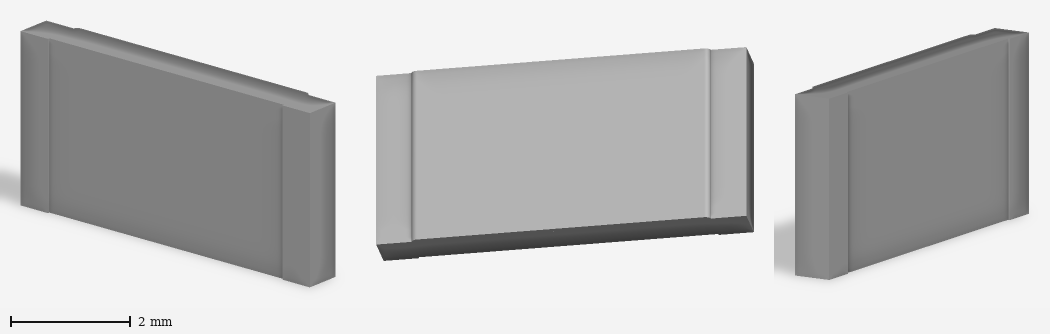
import cadquery as cq

length = 6.3
depth = 0.75
height = 3.1

plating = 0.04
terminal_length = 0.6

substrate_depth = 0.6
substrate_length = length - 2 * plating

coating_depth = depth - plating - substrate_depth
coating_length = length - 2 * terminal_length
coating_fillet = 0.1

terminal_front = -depth / 2
substrate_front = terminal_front + plating
substrate_back = substrate_front + substrate_depth
terminal_depth = substrate_depth + 2 * plating


def block(size_x, size_y, front_y):
    """Full-height block centred on X and Z, extending in +Y from front_y."""
    return cq.Workplane("XY").box(size_x, size_y, height).translate((0, front_y + size_y / 2, 0))


def make_substrate():
    return block(substrate_length, substrate_depth, substrate_front)


def make_coating():
    """Coating layer with its two upright back edges rounded."""
    layer = block(coating_length, coating_depth, substrate_back)
    return layer.faces(">Y").edges("|Z").fillet(coating_fillet)


def make_terminal(side):
    """C-shaped end cap; side is -1 for the -X end and +1 for the +X end."""
    center_x = side * (length - terminal_length) / 2
    cap = block(terminal_length, terminal_depth, terminal_front).translate((center_x, 0, 0))
    return cap.cut(make_substrate())


substrate = make_substrate()
coating = make_coating()
terminals = [make_terminal(side) for side in (-1, 1)]

result = cq.Compound.makeCompound(
    [substrate.val(), coating.val()] + [terminal.solids().val() for terminal in terminals]
)